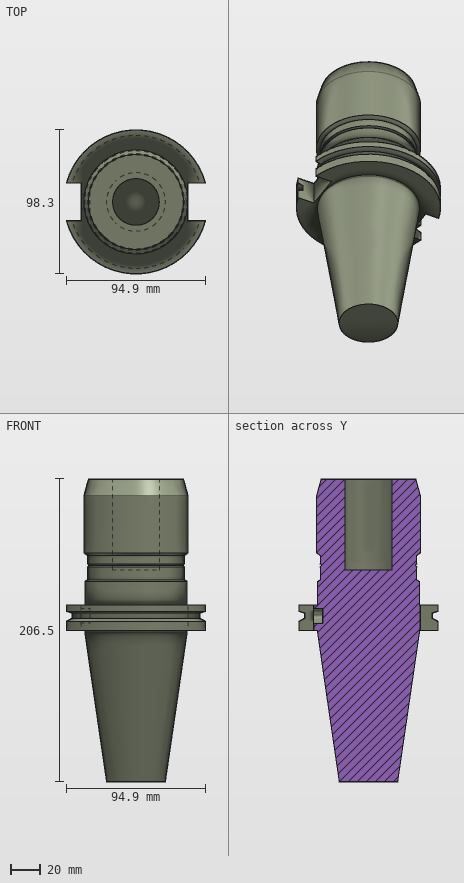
import cadquery as cq

total_height = 206.5
taper_top = 101.9
flange_bottom = 103.0
flange_top = 120.7
shoulder_top = 136.8
neck_bottom = 137.8
neck_groove_bottom = 146.7
neck_groove_top = 148.8
neck_top = 154.3
head_bottom = 156.2
nose_bottom = 195.2

taper_small_radius = 20.0
taper_large_radius = 35.0
shoulder_radius = taper_large_radius
flange_radius = 98.3 / 2
neck_radius = 33.0
neck_groove_radius = 32.0
head_radius = 35.5
nose_radius = 32.5

groove_lower_edge = 109.5
groove_floor_bottom = 111.5
groove_floor_top = 115.0
groove_upper_edge = 116.3
groove_radius = 45.5

bore_radius = 16.0
bore_depth = 62.0
slot_width = 25.6
left_slot_floor = 37.4
right_slot_floor = 35.3
slot_hole_radius = 5.0
slot_hole_height = 113.2
slot_hole_depth = 6.2


def turned_body():
    """Revolve the outer profile, given as (radius, height) points."""
    profile = [
        (0, 0),
        (taper_small_radius, 0),
        (taper_large_radius, taper_top),
        (shoulder_radius, flange_bottom),
        (flange_radius, flange_bottom),
        (flange_radius, groove_lower_edge),
        (groove_radius, groove_floor_bottom),
        (groove_radius, groove_floor_top),
        (flange_radius, groove_upper_edge),
        (flange_radius, flange_top),
        (shoulder_radius, flange_top),
        (shoulder_radius, shoulder_top),
        (neck_radius, neck_bottom),
        (neck_radius, neck_groove_bottom),
        (neck_groove_radius, (neck_groove_bottom + neck_groove_top) / 2),
        (neck_radius, neck_groove_top),
        (neck_radius, neck_top),
        (head_radius, head_bottom),
        (head_radius, nose_bottom),
        (nose_radius, total_height),
        (0, total_height),
    ]
    return cq.Workplane("XZ").polyline(profile).close().revolve(360, (0, 0), (0, 1))


def tool_bore():
    """Blind bore sunk from the nose face."""
    return (
        cq.Workplane("XY")
        .workplane(offset=total_height - bore_depth)
        .circle(bore_radius)
        .extrude(bore_depth)
    )


def drive_slot(side, floor):
    """Slot through the flange height; side is -1 or +1 along X."""
    return (
        cq.Workplane("XY")
        .workplane(offset=flange_bottom)
        .center(side * (floor + flange_radius / 2), 0)
        .rect(flange_radius, slot_width)
        .extrude(flange_top - flange_bottom)
    )


def slot_hole():
    """Blind round hole in the floor of the -X drive slot."""
    return (
        cq.Workplane("YZ")
        .workplane(offset=-left_slot_floor)
        .center(0, slot_hole_height)
        .circle(slot_hole_radius)
        .extrude(slot_hole_depth)
    )


result = (
    turned_body()
    .cut(tool_bore())
    .cut(drive_slot(-1, left_slot_floor))
    .cut(drive_slot(1, right_slot_floor))
    .cut(slot_hole())
)